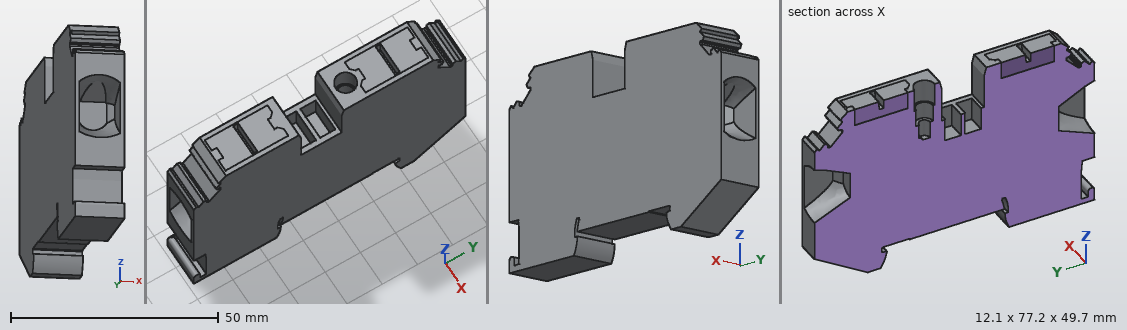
import cadquery as cq
import math

THICKNESS = 12.1
LENGTH = 77.2
HEIGHT = 49.7
HALF_X = THICKNESS / 2
HALF_Y = LENGTH / 2

SIDE_WALL = 0.4

MIRROR_OFFSET = 9.95
TOP_END = 29.4

GAP_Y_MAX = 3.4
GAP_Y_MIN = -8.1
GAP_FLOOR = 38.1
GAP_LEAD_IN = 0.6
GAP_LEAD_IN_HEIGHT = 2.3

RAIL_FACE = 5.8
RAIL_STEP = 0.2
SLOPE_TOP = 9.0

RECESS_BOTTOM = 3.9
RECESS_BEND = 10.1
RECESS_TOP = 12.65
RECESS_WALL = -35.05
RECESS_LEAN = 0.2
LATCH_RADIUS = 0.9
LATCH_GROOVE_DEPTH = 2.3

FUNNEL_HALF_WIDTH = 5.0
FUNNEL_END_HALF_WIDTH = 3.4
FUNNEL_STRAIGHT = 7.9
FUNNEL_DEPTH = 9.9
FUNNEL_SPLIT_Z = 28.4
LOWER_MOUTH = (30.65, 10.8)
LOWER_END = (28.0, 4.0)
UPPER_MOUTH = (27.7, 7.7)
UPPER_END = (26.6, 5.4)
ROOF_START_DEPTH = 2.7
ROOF_START_Z = 34.5
ROOF_END_Z = 31.0

SCREW_Y = 8.25
SCREW_STEPS = ((2.8, 6.2), (2.3, 10.8), (1.5, 15.45))
SCREW_FACET_START = 0.5
SCREW_FACET_END = 0.9
SCREW_FACET_ANGLE = 60

POCKET_HALF_X = 4.55
POCKET_LENGTH = 4.3
POCKET_CENTRES = (0.4, -5.1)
POCKET_DEPTH = 6.2

COVER_HALF_X = 4.8
COVER_INNER_Y = 11.0
COVER_OUTER_Y = 28.8
COVER_DEPTH = 4.6
NOTCH_HALF_X = 1.55
NOTCH_OUTER_DEPTH = 1.4
NOTCH_INNER_DEPTH = 1.9
NOTCH_CHAMFER = 1.1
SLOT_HALF_X = 4.4
SLOT_WIDTH = 1.4
SLOT_CENTRE_Y = 20.2
SLOT_DEPTH = 2.3
SLOT_TAPER = 0.3


def corner_mirror(point):
    """Mirror a (y, z) point about the 45 degree line of the top corner."""
    y, z = point
    return (z - MIRROR_OFFSET, y + MIRROR_OFFSET)


LIP_TOP = (31.6, 47.9)
LIP_TIP = (31.6, 47.4)
LIP_ROOT = (31.2, 47.5)
UPPER_CORNER = [
    LIP_TOP,
    LIP_TIP,
    LIP_ROOT,
    (30.9, 47.2),
    (32.35, 45.8),
    (31.9, 44.85),
    (31.1, 44.85),
    (30.9, 44.6),
    (30.9, 44.15),
]


def corner_outline():
    """Toothed corner from the top face to the end face, on the +Y side."""
    lower = [corner_mirror(point) for point in reversed(UPPER_CORNER)]
    lip_y, lip_z = lower[-1]
    slope_run = LIP_TOP[0] - TOP_END
    slope_drop = HEIGHT - LIP_TOP[1]
    end_z = lip_z - (HALF_Y - lip_y) * slope_run / slope_drop
    return [(TOP_END, HEIGHT)] + UPPER_CORNER + lower + [(HALF_Y, end_z)]


def housing_blank():
    corner = corner_outline()
    far_corner = [(-y, z) for y, z in corner]
    lead_in_z = HEIGHT - GAP_LEAD_IN_HEIGHT
    rail_step_z = RAIL_FACE + RAIL_STEP
    return (
        cq.Workplane("YZ", origin=(-HALF_X, 0, 0))
        .moveTo(HALF_Y, SLOPE_TOP)
        .lineTo(23.9, 0)
        .lineTo(20.3, 0)
        .threePointArc((19.2, 2.0), (18.5, 4.4))
        .lineTo(19.9, 4.8)
        .lineTo(19.9, RAIL_FACE)
        .lineTo(19.6, rail_step_z)
        .lineTo(12.3, rail_step_z)
        .lineTo(12.3, RAIL_FACE)
        .lineTo(-13.8, RAIL_FACE)
        .threePointArc((-13.6, 7.2), (-13.1, 8.65))
        .lineTo(-13.3, 9.1)
        .lineTo(-14.0, 9.1)
        .threePointArc((-14.5, 7.5), (-14.75, 5.8))
        .lineTo(-14.75, 4.6)
        .lineTo(-13.8, 4.6)
        .threePointArc((-14.1, 2.3), (-15.05, 0))
        .lineTo(-HALF_Y, 0)
        .lineTo(-HALF_Y, RECESS_BOTTOM - LATCH_RADIUS)
        .radiusArc((-HALF_Y + LATCH_RADIUS, RECESS_BOTTOM), LATCH_RADIUS)
        .lineTo(RECESS_WALL, RECESS_BOTTOM)
        .lineTo(RECESS_WALL, RECESS_BEND)
        .lineTo(RECESS_WALL - RECESS_LEAN, RECESS_TOP)
        .lineTo(-HALF_Y, RECESS_TOP)
        .polyline(far_corner[::-1], includeCurrent=True)
        .lineTo(GAP_Y_MIN - GAP_LEAD_IN, HEIGHT)
        .lineTo(GAP_Y_MIN, lead_in_z)
        .lineTo(GAP_Y_MIN, GAP_FLOOR)
        .lineTo(GAP_Y_MAX, GAP_FLOOR)
        .lineTo(GAP_Y_MAX, lead_in_z)
        .lineTo(GAP_Y_MAX + GAP_LEAD_IN, HEIGHT)
        .polyline(corner, includeCurrent=True)
        .close()
        .extrude(THICKNESS)
    )


def lip_trimmer():
    """Takes the overhang off both lips of the +Y corner, except at the thin side wall."""
    lip = [LIP_ROOT, LIP_TIP, LIP_TOP]
    plane = cq.Workplane("YZ", origin=(-HALF_X + SIDE_WALL, 0, 0))
    upper = plane.polyline(lip).close().extrude(THICKNESS)
    lower = plane.polyline([corner_mirror(point) for point in lip]).close().extrude(THICKNESS)
    return upper.union(lower)


def latch_groove():
    """Groove behind the rounded latch, open at +X and closed by the thin side wall."""
    crest_y = -HALF_Y + LATCH_RADIUS
    back_y = crest_y + LATCH_RADIUS
    floor_z = RECESS_BOTTOM - LATCH_GROOVE_DEPTH
    return (
        cq.Workplane("YZ", origin=(-HALF_X + SIDE_WALL, 0, 0))
        .moveTo(RECESS_WALL, RECESS_BOTTOM)
        .lineTo(crest_y, RECESS_BOTTOM)
        .radiusArc((back_y, RECESS_BOTTOM - LATCH_RADIUS), LATCH_RADIUS)
        .lineTo(back_y, floor_z)
        .lineTo(RECESS_WALL, floor_z)
        .close()
        .extrude(THICKNESS)
    )


def oblique_cone(mouth, end):
    """Cone from a circle on the -Y face to a circle at the funnel depth; each is (height, radius)."""
    mouth_z, mouth_radius = mouth
    end_z, end_radius = end
    inward = cq.Vector(0, 1, 0)
    circles = [
        cq.Wire.makeCircle(mouth_radius, cq.Vector(0, -HALF_Y, mouth_z), inward),
        cq.Wire.makeCircle(end_radius, cq.Vector(0, -HALF_Y + FUNNEL_DEPTH, end_z), inward),
    ]
    return cq.Workplane(obj=cq.Solid.makeLoft(circles, True))


def wire_funnel():
    """Cutter for the funnel in the -Y face."""
    straight_y = -HALF_Y + FUNNEL_STRAIGHT
    end_y = -HALF_Y + FUNNEL_DEPTH
    plan = [
        (-FUNNEL_HALF_WIDTH, -HALF_Y),
        (FUNNEL_HALF_WIDTH, -HALF_Y),
        (FUNNEL_HALF_WIDTH, straight_y),
        (FUNNEL_END_HALF_WIDTH, end_y),
        (-FUNNEL_END_HALF_WIDTH, end_y),
        (-FUNNEL_HALF_WIDTH, straight_y),
    ]
    floor_part = (
        cq.Workplane("XY").polyline(plan).close().extrude(FUNNEL_SPLIT_Z)
        .intersect(oblique_cone(LOWER_MOUTH, LOWER_END))
    )
    roof_part = (
        cq.Workplane("XY", origin=(0, 0, FUNNEL_SPLIT_Z)).polyline(plan).close()
        .extrude(HEIGHT - FUNNEL_SPLIT_Z)
        .intersect(oblique_cone(UPPER_MOUTH, UPPER_END))
    )
    roof_slope = (ROOF_START_Z - ROOF_END_Z) / (FUNNEL_DEPTH - ROOF_START_DEPTH)
    roof_mouth_z = ROOF_START_Z + roof_slope * ROOF_START_DEPTH
    below_roof = (
        cq.Workplane("YZ")
        .polyline([(-HALF_Y, 0), (end_y, 0), (end_y, ROOF_END_Z), (-HALF_Y, roof_mouth_z)])
        .close()
        .extrude(FUNNEL_HALF_WIDTH, both=True)
    )
    return floor_part.union(roof_part.intersect(below_roof))


def screw_hole():
    """Stepped blind hole whose floor rises over a steep facet to a ledge on the +Y side."""
    hole = cq.Workplane("XY")
    for radius, depth in SCREW_STEPS:
        step = cq.Workplane("XY", origin=(0, SCREW_Y, HEIGHT - depth)).circle(radius).extrude(depth)
        hole = hole.union(step)
    tip_radius, tip_depth = SCREW_STEPS[-1]
    floor_z = HEIGHT - tip_depth
    wall_y = SCREW_Y + tip_radius
    facet_rise = (SCREW_FACET_END - SCREW_FACET_START) * math.tan(math.radians(SCREW_FACET_ANGLE))
    facet = (
        cq.Workplane("YZ")
        .moveTo(SCREW_Y + SCREW_FACET_START, floor_z)
        .lineTo(SCREW_Y + SCREW_FACET_END, floor_z + facet_rise)
        .lineTo(wall_y, floor_z + facet_rise)
        .lineTo(wall_y, floor_z)
        .close()
        .extrude(tip_radius, both=True)
    )
    return hole.cut(facet)


def jumper_pockets():
    return (
        cq.Workplane("XY", origin=(0, 0, GAP_FLOOR - POCKET_DEPTH))
        .pushPoints([(0, y) for y in POCKET_CENTRES])
        .rect(2 * POCKET_HALF_X, POCKET_LENGTH)
        .extrude(POCKET_DEPTH)
    )


def cover_block():
    """Notched slab of the +Y cover, which is also the shape of its seat."""
    outer_notch_y = COVER_OUTER_Y - NOTCH_OUTER_DEPTH
    half_outline = [
        (0, COVER_INNER_Y + NOTCH_INNER_DEPTH),
        (NOTCH_HALF_X, COVER_INNER_Y + NOTCH_INNER_DEPTH),
        (NOTCH_HALF_X, COVER_INNER_Y + NOTCH_CHAMFER),
        (NOTCH_HALF_X + NOTCH_CHAMFER, COVER_INNER_Y),
        (COVER_HALF_X, COVER_INNER_Y),
        (COVER_HALF_X, COVER_OUTER_Y),
        (NOTCH_HALF_X, COVER_OUTER_Y),
        (NOTCH_HALF_X, outer_notch_y),
        (0, outer_notch_y),
    ]
    return (
        cq.Workplane("XY", origin=(0, 0, HEIGHT - COVER_DEPTH))
        .polyline(half_outline)
        .mirrorY()
        .extrude(COVER_DEPTH)
    )


def driver_slot(centre_y):
    """Slot for a screwdriver, tapered at both ends and on the +Y side."""
    return (
        cq.Workplane("XY", origin=(0, centre_y, HEIGHT))
        .rect(2 * SLOT_HALF_X, SLOT_WIDTH)
        .workplane(offset=-SLOT_DEPTH)
        .center(0, -SLOT_TAPER / 2)
        .rect(2 * (SLOT_HALF_X - SLOT_TAPER), SLOT_WIDTH - SLOT_TAPER)
        .loft(ruled=True)
    )


def at_both_ends(shape):
    """The shape where it was built and its mirror image on the opposite Y end."""
    return [shape, shape.mirror("XZ")]


def make_housing():
    body = housing_blank()
    for end_feature in (lip_trimmer(), wire_funnel(), cover_block()):
        for cutter in at_both_ends(end_feature):
            body = body.cut(cutter)
    return body.cut(latch_groove()).cut(screw_hole()).cut(jumper_pockets())


def make_covers():
    blocks = at_both_ends(cover_block())
    slot_centres = (SLOT_CENTRE_Y, -SLOT_CENTRE_Y)
    return [block.cut(driver_slot(y)) for block, y in zip(blocks, slot_centres)]


housing = make_housing()
covers = make_covers()
result = cq.Compound.makeCompound([housing.val()] + [cover.val() for cover in covers])